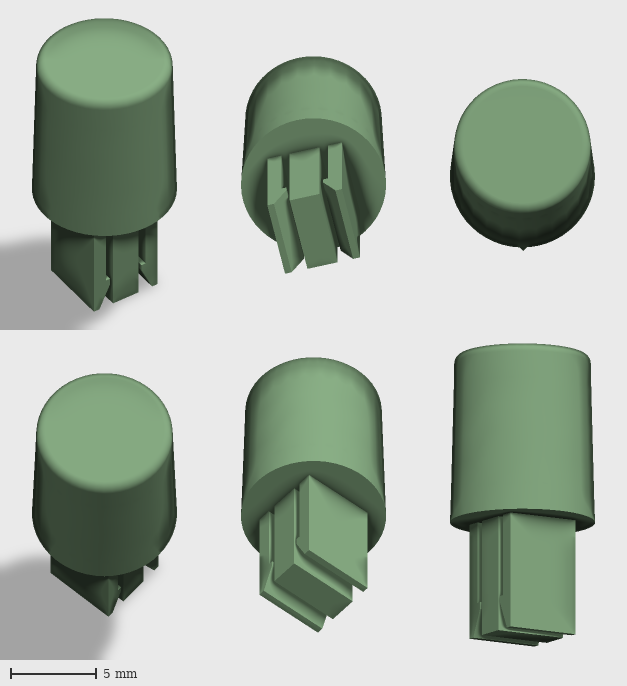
import cadquery as cq

cap_height = 10.0
cap_base_radius = 4.25
cap_shoulder_radius = 4.0
cap_edge_radius = 0.5

stem_length = 6.8
stem_width = 4.5
post_thickness = 1.8

leg_thickness = 0.85
hook_reach = 0.3
hook_height = 2.0
hook_land = 0.4
leg_tip_thickness = 0.4


def make_cap():
    """Revolve the tapered profile about Z, with its base at Z = 0."""
    shoulder_z = cap_height - cap_edge_radius
    top_radius = cap_shoulder_radius - cap_edge_radius
    return (
        cq.Workplane("XZ")
        .lineTo(cap_base_radius, 0)
        .lineTo(cap_shoulder_radius, shoulder_z)
        .radiusArc((top_radius, cap_height), -cap_edge_radius)
        .lineTo(0, cap_height)
        .close()
        .revolve(360, (0, 0, 0), (0, 1, 0))
    )


def make_post():
    """Plain rectangular post between the legs."""
    return cq.Workplane("XY").rect(stem_width, post_thickness).extrude(-stem_length)


def make_leg(side):
    """Snap leg on the given Y side (+1 or -1), its hook pointing at the post."""
    outer_y = stem_width / 2
    inner_y = outer_y - leg_thickness
    hook_y = inner_y - hook_reach
    tip_y = outer_y - leg_tip_thickness
    hook_top_z = hook_height - stem_length
    section = [
        (outer_y, 0),
        (inner_y, 0),
        (inner_y, hook_top_z),
        (hook_y, hook_top_z),
        (hook_y, hook_top_z - hook_land),
        (tip_y, -stem_length),
        (outer_y, -stem_length),
    ]
    return (
        cq.Workplane("YZ")
        .polyline([(side * y, z) for y, z in section])
        .close()
        .extrude(stem_width / 2, both=True)
    )


result = make_cap().union(make_post())
for side in (-1, 1):
    result = result.union(make_leg(side))